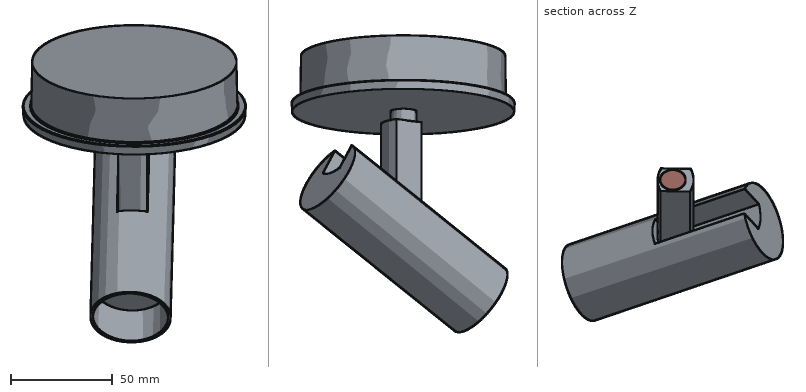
import cadquery as cq
import math

lamp_turn = -45.0
lamp_side = -0.8

overall_height = 134.6

drum_top_radius = 50.3
drum_base_radius = 50.7
drum_height = 23.3
flange_radius = 54.9
flange_underside_radius = 54.6
flange_height = 4.6
flange_chamfer = 0.4
drum_foot_chamfer = 0.5

neck_radius = 6.3
neck_length = 6.0
neck_reach = -0.3
post_flat_length = 14.5
post_end_bow = 1.6
post_thickness = 14.3
post_reach = -1.6

tube_tilt = 30.0
tube_radius = 19.8
tube_length = 102.8
tube_end_reach = 44.4
bore_radius = 18.5
bore_depth = 19.1

slot_width = 15.2
slot_start = 52.1
slot_floor = 4.3
slot_floor_sag = 1.7
slot_end_sag = 0.7

turn = math.radians(lamp_turn)
tilt = math.radians(tube_tilt)

canopy_top = flange_height + drum_height
tube_end_z = canopy_top - overall_height + tube_radius * math.cos(tilt)

reach_direction = cq.Vector(math.cos(turn), math.sin(turn), 0)
side_direction = cq.Vector(-math.sin(turn), math.cos(turn), 0)
up = cq.Vector(0, 0, 1)


def lamp_point(reach, z):
    """Point in the lamp's middle plane."""
    return reach_direction * reach + side_direction * lamp_side + up * z


def horizontal_plane(reach, z):
    """Level plane centred on the lamp, with its X along the reach."""
    return cq.Plane(lamp_point(reach, z), reach_direction, up)


tube_axis = up * math.sin(tilt) - reach_direction * math.cos(tilt)
tube_plane = cq.Plane(lamp_point(tube_end_reach, tube_end_z), side_direction * -1, tube_axis)


def slot_cutter():
    """Cutter for a channel with a hollow floor and a hollow end wall."""
    half = slot_width / 2
    lowest = slot_floor - slot_floor_sag
    channel = (
        cq.Workplane(tube_plane)
        .moveTo(-half, tube_radius)
        .lineTo(-half, slot_floor)
        .threePointArc((0, lowest), (half, slot_floor))
        .lineTo(half, tube_radius)
        .close()
        .extrude(tube_length)
    )
    plan_plane = cq.Plane(tube_plane.origin, tube_plane.xDir, tube_plane.yDir * -1)
    plan = (
        cq.Workplane(plan_plane)
        .moveTo(-half, tube_length)
        .lineTo(-half, slot_start)
        .threePointArc((0, slot_start - slot_end_sag), (half, slot_start))
        .lineTo(half, tube_length)
        .close()
        .extrude(-tube_radius)
    )
    return channel.intersect(plan)


def make_lamp_tube():
    """Tube with a blind bore at its lower end and the post slot at its upper end."""
    body = cq.Workplane(tube_plane).circle(tube_radius).extrude(tube_length)
    bore = cq.Workplane(tube_plane).circle(bore_radius).extrude(bore_depth)
    return body.cut(bore).cut(slot_cutter())


def make_canopy():
    """Drum and flange turned in one piece."""
    return (
        cq.Workplane("XZ")
        .moveTo(0, 0)
        .lineTo(flange_underside_radius, 0)
        .lineTo(flange_radius, flange_height - flange_chamfer)
        .lineTo(flange_radius - flange_chamfer, flange_height)
        .lineTo(drum_base_radius + drum_foot_chamfer, flange_height)
        .lineTo(drum_base_radius, flange_height + drum_foot_chamfer)
        .lineTo(drum_top_radius, canopy_top)
        .lineTo(0, canopy_top)
        .close()
        .revolve(360, (0, 0, 0), (0, 1, 0))
    )


def make_post(lamp_tube):
    """Flat-sided post that fills the slot down to its floor and end wall."""
    lowest = tube_end_z + slot_start * math.sin(tilt)
    length = -neck_length - lowest
    half_length = post_flat_length / 2
    half_thickness = post_thickness / 2
    bow_reach = half_length + post_end_bow
    post = (
        cq.Workplane(horizontal_plane(post_reach, lowest))
        .moveTo(-half_length, -half_thickness)
        .lineTo(half_length, -half_thickness)
        .threePointArc((bow_reach, 0), (half_length, half_thickness))
        .lineTo(-half_length, half_thickness)
        .threePointArc((-bow_reach, 0), (-half_length, -half_thickness))
        .close()
        .extrude(length)
    )
    return post.cut(lamp_tube)


def make_mount(lamp_tube):
    """Canopy, neck and post in one piece."""
    neck = cq.Workplane(horizontal_plane(neck_reach, 0)).circle(neck_radius).extrude(-neck_length)
    return make_canopy().union(neck).union(make_post(lamp_tube))


lamp_tube = make_lamp_tube()
mount = make_mount(lamp_tube)

result = cq.Compound.makeCompound([mount.solids().val(), lamp_tube.solids().val()])